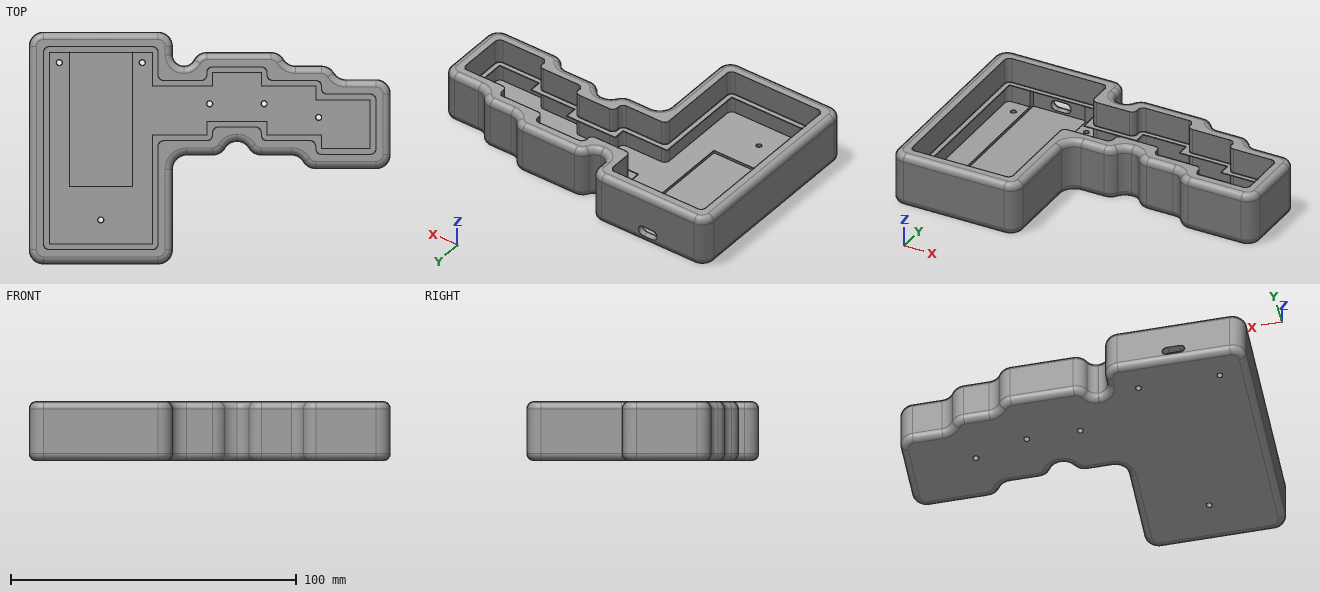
import cadquery as cq
import math

wall = 5.0
head_width = 50.05
head_length = 81.0
height = 20.6
floor_thickness = 3.0
rim_fillet = 2.5
cavity_radius = 2.0

key_pitch = 19.05
key_stagger = key_pitch / 4
cell_margin = 1.0
first_cell_top = 64.15
notch_radius = 4.0
crest_extension = 1.4

plate_width = 2.0
plate_thickness = 0.2
plate_top = 11.0

pocket_width = 22.0
pocket_start = 27.0
pocket_depth = 1.0
pocket_wall = 2.5
slot_length = 8.0
slot_width = 4.0
slot_height = 4.75

hole_diameter = 2.0
head_hole_spacing = 29.0
head_hole_upper = 70.4
head_hole_lower = 15.4

head_middle = head_width / 2
head_right = head_width - wall
head_top = head_length - wall
cell_height = key_pitch + 2 * cell_margin
first_cell_bottom = first_cell_top - cell_height

border_1, border_2, border_3 = [head_right - cell_margin + key_pitch * n for n in (1, 2, 3)]
handle_end = border_3 + key_pitch + cell_margin

step_reach = math.sqrt((2 * wall) ** 2 - (2 * wall - key_stagger) ** 2)
notch_span = wall + notch_radius
notch_reach = math.sqrt(notch_span ** 2 - (notch_span - key_stagger) ** 2)

shortest_run = 1e-4

plate_bottom = plate_top - plate_thickness
pocket_floor = floor_thickness - pocket_depth
pocket_length = head_length - pocket_wall - pocket_start

border_hole_y = first_cell_bottom + (cell_height + key_stagger) / 2
hole_places = [
    (head_middle - head_hole_spacing / 2, head_hole_upper),
    (head_middle + head_hole_spacing / 2, head_hole_upper),
    (head_middle, head_hole_lower),
    (border_1, border_hole_y),
    (border_2, border_hole_y),
    (border_3, border_hole_y - key_stagger),
]


def cavity_corners(inset):
    """Sharp cavity corners, counter-clockwise from the lower left, moved inward by inset."""
    reach = cell_margin - inset
    left = wall + inset
    right = head_right - inset
    end = handle_end - inset
    low = first_cell_bottom + inset
    high = first_cell_top - inset
    return [
        (left, wall + inset),
        (right, wall + inset),
        (right, low),
        (border_1 + reach, low),
        (border_1 + reach, low + key_stagger),
        (border_2 - reach, low + key_stagger),
        (border_2 - reach, low),
        (border_3 - reach, low),
        (border_3 - reach, low - key_stagger),
        (end, low - key_stagger),
        (end, high - key_stagger),
        (border_3 + reach, high - key_stagger),
        (border_3 + reach, high),
        (border_2 + reach, high),
        (border_2 + reach, high + key_stagger),
        (border_1 - reach, high + key_stagger),
        (border_1 - reach, high),
        (right, high),
        (right, head_top - inset),
        (left, head_top - inset),
    ]


def outer_arcs():
    """Arcs (x, y, radius) around the outside, counter-clockwise; hollow arcs have a negative radius."""
    low = first_cell_bottom
    high = first_cell_top
    low_hollow = low - 2 * wall
    high_hollow = high + 2 * wall
    notch_y = high + notch_span
    low_left = border_1 + cell_margin
    low_right = border_2 - cell_margin
    low_end = border_3 - cell_margin
    crest_left = border_1 - cell_margin
    crest_right = border_2 + cell_margin + crest_extension
    high_end = border_3 + cell_margin
    return [
        (wall, wall, wall),
        (head_right, wall, wall),
        (head_width + wall, low_hollow, -wall),
        (low_left, low, wall),
        (low_left + step_reach, low_hollow + key_stagger, -wall),
        (low_right - step_reach, low_hollow + key_stagger, -wall),
        (low_right, low, wall),
        (low_end - step_reach, low_hollow, -wall),
        (low_end, low - key_stagger, wall),
        (handle_end, low - key_stagger, wall),
        (handle_end, high - key_stagger, wall),
        (high_end + step_reach, high_hollow - key_stagger, -wall),
        (high_end, high, wall),
        (crest_right + step_reach, high_hollow, -wall),
        (crest_right, high + key_stagger, wall),
        (crest_left, high + key_stagger, wall),
        (crest_left - notch_reach, notch_y, -notch_radius),
        (head_width + notch_radius, notch_y, -notch_radius),
        (head_right, head_top, wall),
        (wall, head_top, wall),
    ]


def tangent_run(first, second):
    """Start and end of the straight run that leaves one arc and joins the next."""
    x1, y1, radius_1 = first
    x2, y2, radius_2 = second
    sine = (radius_2 - radius_1) / math.hypot(x2 - x1, y2 - y1)
    lean = math.asin(max(-1.0, min(1.0, sine)))
    normal = math.atan2(y2 - y1, x2 - x1) + math.pi / 2 - lean
    nx = math.cos(normal)
    ny = math.sin(normal)
    return (x1 - radius_1 * nx, y1 - radius_1 * ny), (x2 - radius_2 * nx, y2 - radius_2 * ny)


def arc_middle(center_x, center_y, radius, start, end):
    """Point halfway along an arc of less than half a turn."""
    toward_x = start[0] + end[0] - 2 * center_x
    toward_y = start[1] + end[1] - 2 * center_y
    scale = abs(radius) / math.hypot(toward_x, toward_y)
    return center_x + toward_x * scale, center_y + toward_y * scale


def rounded_outline(arcs):
    """Closed outline that follows the arcs in turn, with straight runs between them."""
    next_arcs = arcs[1:] + arcs[:1]
    runs = [tangent_run(first, second) for first, second in zip(arcs, next_arcs)]
    here = runs[-1][1]
    path = cq.Workplane("XY").moveTo(*here)
    for (x, y, radius), (leave, arrive) in zip(arcs, runs):
        path = path.threePointArc(arc_middle(x, y, radius, here, leave), leave)
        here = leave
        if math.dist(leave, arrive) > shortest_run:
            path = path.lineTo(*arrive)
            here = arrive
    return path.close()


def cavity_prism(inset, bottom, depth):
    """Sharp-cornered prism of the cavity shape."""
    return (
        cq.Workplane("XY", origin=(0, 0, bottom))
        .polyline(cavity_corners(inset))
        .close()
        .extrude(depth)
    )


def rounded_cavity(bottom, depth):
    """Prism of the cavity with its upright corners rounded."""
    return cavity_prism(0, bottom, depth).edges("|Z").fillet(cavity_radius)


def floor_pocket():
    """Pocket that runs under the plate and into the +Y wall."""
    return cq.Workplane("XY", origin=(head_middle, pocket_start, pocket_floor)).box(
        pocket_width, pocket_length, plate_bottom - pocket_floor, centered=(True, False, False)
    )


def wall_slot():
    """Round-ended slot through the +Y wall of the head."""
    return (
        cq.Workplane("XZ", origin=(head_middle, head_length, slot_height))
        .slot2D(slot_length, slot_width)
        .extrude(wall)
    )


def screw_holes():
    return cq.Workplane("XY").pushPoints(hole_places).circle(hole_diameter / 2).extrude(floor_thickness)


def make_housing():
    body = rounded_outline(outer_arcs()).extrude(height)
    body = body.faces("<Z or >Z").edges().fillet(rim_fillet)
    body = body.cut(rounded_cavity(floor_thickness, height - floor_thickness))
    body = body.cut(floor_pocket())
    body = body.cut(wall_slot())
    return body.cut(screw_holes())


def make_plate():
    opening = cavity_prism(plate_width, plate_bottom, plate_thickness)
    return rounded_cavity(plate_bottom, plate_thickness).cut(opening)


housing = make_housing()
plate = make_plate()
result = cq.Compound.makeCompound([housing.val(), plate.val()])